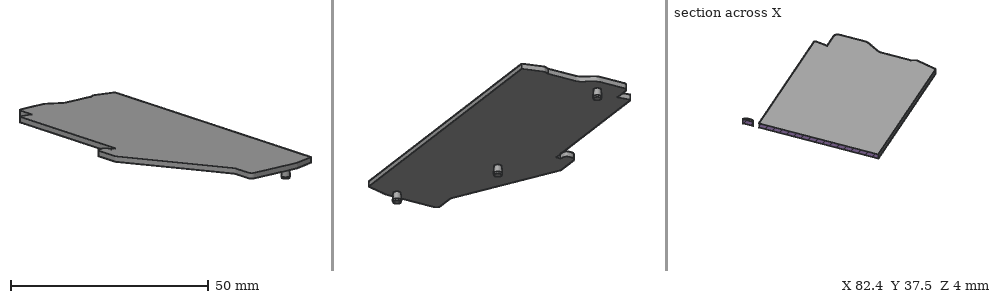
import cadquery as cq
import math

length = 82.4
width = 37.5
plate_thickness = 1.5
total_height = 4.0

top_right_x = 80.7
right_shoulder_y = 31.4
right_foot_y = 16.15
slant_top_x = 76.05

hook_left_x = 40.5
hook_tip_x = 48.2
hook_lip_angle = 15.0
hook_lip_y = 3.5
notch_x = 42.5
lower_edge_y = 4.7

step_bottom_x = 4.8
step_top_x = 5.35
left_foot_y = 8.4
left_shoulder_y = 17.1
waist_x = 2.6
waist_bottom_y = 21.6
waist_top_y = 30.2
nub_x = 2.1
nub_y = 31.65
top_left_x = 3.55

foot_radius = 1.15
slant_radius = 1.0
shoulder_radius = 2.0
nub_radius = 0.4
step_radius = 0.4
hook_bottom_radius = 1.5
hook_top_radius = 1.0

peg_root_radius = 1.0
peg_end_radius = 1.15
peg_tip_radius = 1.0
peg_tip_height = 0.5
peg_centers = [(4.1, 15.0), (54.2, 15.0), (80.25, 29.4)]


def make_plate():
    """Extrude the plate outline and round its corners."""
    lip_slope = math.tan(math.radians(hook_lip_angle))
    hook_corner_y = hook_lip_y - (notch_x - hook_left_x) * lip_slope

    plate = (
        cq.Workplane("XY")
        .moveTo(top_left_x, width)
        .lineTo(top_right_x, width)
        .lineTo(length, right_shoulder_y)
        .lineTo(length, right_foot_y)
        .lineTo(slant_top_x, right_foot_y)
        .lineTo(hook_tip_x, 0)
        .lineTo(hook_left_x, 0)
        .lineTo(hook_left_x, hook_corner_y)
        .lineTo(notch_x, hook_lip_y)
        .lineTo(notch_x, lower_edge_y)
        .lineTo(step_bottom_x, lower_edge_y)
        .lineTo(step_top_x, left_foot_y)
        .lineTo(0, left_foot_y)
        .lineTo(0, left_shoulder_y)
        .lineTo(waist_x, waist_bottom_y)
        .lineTo(waist_x, waist_top_y)
        .lineTo(nub_x, nub_y)
        .close()
        .extrude(plate_thickness)
    )

    rounded_corners = [
        (length, right_foot_y, foot_radius),
        (0, left_foot_y, foot_radius),
        (slant_top_x, right_foot_y, slant_radius),
        (hook_tip_x, 0, slant_radius),
        (0, left_shoulder_y, shoulder_radius),
        (waist_x, waist_bottom_y, shoulder_radius),
        (nub_x, nub_y, nub_radius),
        (step_bottom_x, lower_edge_y, step_radius),
        (hook_left_x, 0, hook_bottom_radius),
        (hook_left_x, hook_corner_y, hook_top_radius),
    ]
    for x, y, radius in rounded_corners:
        corner = cq.selectors.NearestToPointSelector((x, y, plate_thickness / 2))
        plate = plate.edges("|Z").edges(corner).fillet(radius)
    return plate


def make_peg():
    """Revolve a peg that widens downward and ends in a chamfered tip."""
    root_z = plate_thickness / 2
    tip_z = plate_thickness - total_height
    return (
        cq.Workplane("XZ")
        .moveTo(0, root_z)
        .lineTo(peg_root_radius, root_z)
        .lineTo(peg_root_radius, 0)
        .lineTo(peg_end_radius, tip_z + peg_tip_height)
        .lineTo(peg_tip_radius, tip_z)
        .lineTo(0, tip_z)
        .close()
        .revolve(360, (0, 0, 0), (0, 1, 0))
    )


result = make_plate()
for peg_x, peg_y in peg_centers:
    result = result.union(make_peg().translate((peg_x, peg_y, 0)))